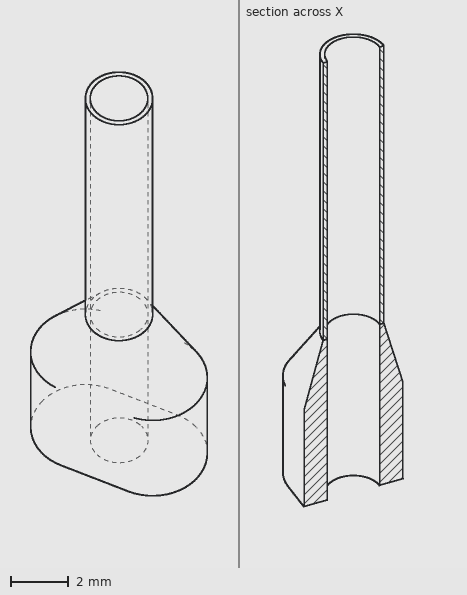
import cadquery as cq

total_height = 19.0
collar_length = 6.4
collar_width = 3.8

base_height = 4.2
collar_height = 7.0

tube_diameter = 2.34
bore_diameter = 2.0

tube_radius = tube_diameter / 2
end_radius = collar_width / 2
end_offset = collar_length / 2 - end_radius
taper_height = collar_height - base_height


def half_cone(side):
    """Slanted cone from one rounded end of the base to half of the tube outline; side is +1 or -1."""
    end_x = side * end_offset
    return (
        cq.Workplane("XY", origin=(0, 0, base_height))
        .moveTo(end_x, -end_radius)
        .threePointArc((end_x + side * end_radius, 0), (end_x, end_radius))
        .close()
        .workplane(offset=taper_height)
        .moveTo(0, -tube_radius)
        .threePointArc((side * tube_radius, 0), (0, tube_radius))
        .close()
        .loft(ruled=True)
    )


def middle_wedge():
    """Wedge between the two half cones, with a flat triangle on its front and back."""
    triangle = (
        cq.Workplane("XZ")
        .polyline([(-end_offset, base_height), (end_offset, base_height), (0, collar_height)])
        .close()
        .extrude(end_radius, both=True)
    )
    side_taper = (
        cq.Workplane("YZ")
        .polyline([
            (-end_radius, base_height),
            (end_radius, base_height),
            (tube_radius, collar_height),
            (-tube_radius, collar_height),
        ])
        .close()
        .extrude(end_offset, both=True)
    )
    return triangle.intersect(side_taper)


def make_collar():
    """Oval collar that narrows to the tube diameter, with the wire bore through it."""
    base = cq.Workplane("XY").slot2D(collar_length, collar_width).extrude(base_height)
    outside = base.union(middle_wedge()).union(half_cone(1)).union(half_cone(-1))
    bore = cq.Workplane("XY").circle(bore_diameter / 2).extrude(collar_height)
    return outside.cut(bore)


def make_tube():
    """Thin round tube standing on the top of the collar."""
    return (
        cq.Workplane("XY", origin=(0, 0, collar_height))
        .circle(tube_radius)
        .circle(bore_diameter / 2)
        .extrude(total_height - collar_height)
    )


collar = make_collar()
tube = make_tube()
result = cq.Compound.makeCompound([*collar.solids().vals(), tube.val()])